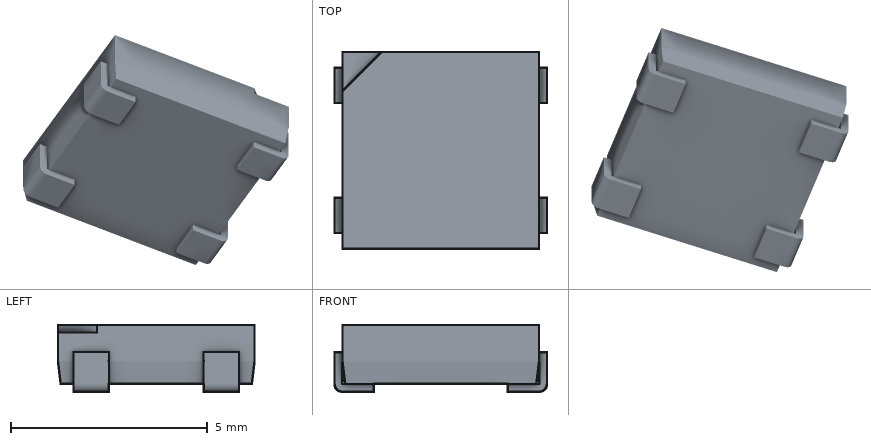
import cadquery as cq

overall_length = 5.4
body_side = 5.0
overall_height = 1.7

lead_thickness = (overall_length - body_side) / 2
lead_width = 0.9
lead_height = 1.01
foot_length = 1.0
lead_offset_y = 1.65
bend_radius = lead_thickness

seam_height = 0.78
base_inset = 0.07
base_side = body_side - 2 * base_inset

mark_leg = 1.0
mark_depth = 0.2


def make_body():
    upper = (
        cq.Workplane("XY", origin=(0, 0, seam_height))
        .rect(body_side, body_side)
        .extrude(overall_height - seam_height)
    )
    base = (
        cq.Workplane("XY", origin=(0, 0, lead_thickness))
        .rect(base_side, base_side)
        .workplane(offset=seam_height - lead_thickness)
        .rect(body_side, body_side)
        .loft(ruled=True)
    )
    return upper.union(base)


def make_corner_mark():
    """Triangular prism removed from the top at the -X, +Y corner."""
    half = body_side / 2
    return (
        cq.Workplane("XY", origin=(-half, half, overall_height - mark_depth))
        .polyline([(0, 0), (mark_leg, 0), (0, -mark_leg)])
        .close()
        .extrude(mark_depth)
    )


def make_lead(side, center_y):
    """L-shaped lead on the +X (side = 1) or -X (side = -1) face."""
    outer_x = overall_length / 2
    foot = cq.Workplane("XY").box(
        foot_length, lead_width, lead_thickness, centered=(False, True, False)
    ).translate((outer_x - foot_length, 0, 0))
    upright = cq.Workplane("XY").box(
        lead_thickness, lead_width, lead_height, centered=(False, True, False)
    ).translate((outer_x - lead_thickness, 0, 0))
    lead = foot.union(upright).edges("|Y").edges(">X").edges("<Z").fillet(bend_radius)
    if side < 0:
        lead = lead.mirror("YZ")
    return lead.translate((0, center_y, 0))


result = make_body().cut(make_corner_mark())
for lead_side in (-1, 1):
    for lead_y in (-lead_offset_y, lead_offset_y):
        result = result.union(make_lead(lead_side, lead_y))